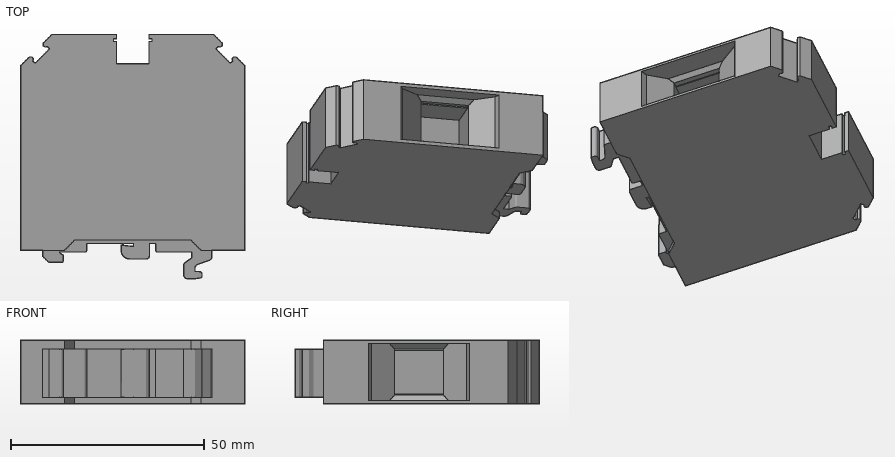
import cadquery as cq
import math

WIDTH = 58.0
HEIGHT = 55.9
THICKNESS = 16.5
HALF_WIDTH = WIDTH / 2
CORNER_CHAMFER = 8.1

GROOVE_HALF_PROFILE = [(2.5, 0), (2.0, 0.5), (2.15, 1.15), (2.65, 1.4), (2.6, 2.2)]

SLOT_WIDTH = 8.35
SLOT_DEPTH = 7.6
NOTCH_SPAN = 9.85
NOTCH_HEIGHT = 0.7
NOTCH_DEPTH = 1.15

FUNNEL_Y = 24.7
MOUTH_WIDTH = 26.05
THROAT_START_WIDTH = 24.6
BORE_WIDTH = 12.65
MOUTH_HEIGHT = 14.7
THROAT_HEIGHT = 11.9
BORE_HEIGHT = 11.25
LIP_DEPTH = 1.5
ROOF_TAPER_START = 4.8
THROAT_DEPTH = 5.7
BORE_STEP_DEPTH = 6.9
BORE_DEPTH = 15.8

RECESS_WIDTH = 35.4
RECESS_DEPTH = 2.65
RECESS_HALF_WIDTH = RECESS_WIDTH / 2
RECESS_HALF_ROOF = RECESS_HALF_WIDTH - RECESS_DEPTH

FOOT_BOTTOM_Z = -6.5
FOOT_THICKNESS = 12.45
BAR_BOTTOM = -0.45
BAR_RELIEF = 1.8
BAR_ROUND = 0.5
HOOK_BOTTOM = -7.35
HOOK_ROUND = 1.0
PAD_BOTTOM = -2.2
PAD_ROUND = 2.2


def rounded_outline(corners):
    """Closed XY wire through (x, y, radius) corners; radius 0 keeps a corner sharp."""
    stretches = []
    for i, (x, y, radius) in enumerate(corners):
        corner = cq.Vector(x, y)
        if radius == 0:
            stretches.append([corner])
            continue
        before = cq.Vector(*corners[i - 1][:2])
        after = cq.Vector(*corners[(i + 1) % len(corners)][:2])
        to_before = (before - corner).normalized()
        to_after = (after - corner).normalized()
        half_angle = to_before.getAngle(to_after) / 2
        tangent_length = radius / math.tan(half_angle)
        bisector = (to_before + to_after).normalized()
        middle = corner + bisector * (radius / math.sin(half_angle) - radius)
        stretches.append([corner + to_before * tangent_length, middle, corner + to_after * tangent_length])

    outline = cq.Workplane("XY").moveTo(*stretches[0][-1].toTuple()[:2])
    for stretch in stretches[1:] + stretches[:1]:
        outline = outline.lineTo(*stretch[0].toTuple()[:2])
        if len(stretch) == 3:
            outline = outline.threePointArc(stretch[1].toTuple()[:2], stretch[2].toTuple()[:2])
    return outline.close()


def through_cutter(outline):
    """Prism of an XY outline, as thick as the housing."""
    return outline.extrude(THICKNESS / 2, both=True)


def mirrored_pair(shape):
    return shape.union(shape.mirror("YZ"))


def make_block():
    block = cq.Workplane("XY").box(WIDTH, HEIGHT, THICKNESS).translate((0, HEIGHT / 2, 0))
    return block.edges("|Z and >Y").chamfer(CORNER_CHAMFER)


def make_corner_grooves():
    profile = [(along, -depth) for along, depth in GROOVE_HALF_PROFILE]
    profile += [(-along, depth) for along, depth in reversed(profile)]
    groove = through_cutter(cq.Workplane("XY").polyline(profile).close())
    groove = groove.rotate((0, 0, 0), (0, 0, 1), -45)
    middle_x = HALF_WIDTH - CORNER_CHAMFER / 2
    middle_y = HEIGHT - CORNER_CHAMFER / 2
    return mirrored_pair(groove.translate((middle_x, middle_y, 0)))


def make_top_slot():
    slot = through_cutter(cq.Workplane("XY").center(0, HEIGHT - SLOT_DEPTH / 2).rect(SLOT_WIDTH, SLOT_DEPTH))
    notch_y = HEIGHT - NOTCH_DEPTH - NOTCH_HEIGHT / 2
    notches = through_cutter(cq.Workplane("XY").center(0, notch_y).rect(NOTCH_SPAN, NOTCH_HEIGHT))
    return slot.union(notches)


def make_funnels():
    plan = [
        (0, MOUTH_WIDTH / 2),
        (LIP_DEPTH, THROAT_START_WIDTH / 2),
        (THROAT_DEPTH, BORE_WIDTH / 2),
        (BORE_DEPTH, BORE_WIDTH / 2),
    ]
    section = [
        (0, MOUTH_HEIGHT / 2),
        (ROOF_TAPER_START, MOUTH_HEIGHT / 2),
        (THROAT_DEPTH, THROAT_HEIGHT / 2),
        (BORE_STEP_DEPTH, THROAT_HEIGHT / 2),
        (BORE_STEP_DEPTH, BORE_HEIGHT / 2),
        (BORE_DEPTH, BORE_HEIGHT / 2),
    ]

    def symmetric_prism(plane, half_profile, length):
        profile = half_profile + [(depth, -offset) for depth, offset in reversed(half_profile)]
        return cq.Workplane(plane).polyline(profile).close().extrude(length / 2, both=True)

    funnel = symmetric_prism("XY", plan, MOUTH_HEIGHT).intersect(symmetric_prism("XZ", section, MOUTH_WIDTH))
    return mirrored_pair(funnel.translate((-HALF_WIDTH, FUNNEL_Y, 0)))


def make_base_recess():
    corners = [
        (-RECESS_HALF_WIDTH, 0),
        (-RECESS_HALF_ROOF, RECESS_DEPTH),
        (RECESS_HALF_ROOF, RECESS_DEPTH),
        (RECESS_HALF_WIDTH, 0),
    ]
    return through_cutter(cq.Workplane("XY").polyline(corners).close())


def make_rail_foot():
    corners = [
        (-23.35, 0, 0),
        (-23.35, -1.5, 0),
        (-21.7, -3.1, 0),
        (-17.95, -3.1, 0.45),
        (-17.95, -1.1, 0.3),
        (-18.5, -0.95, 0),
        (-19.0, BAR_BOTTOM, 0),
        (-11.9, BAR_BOTTOM, BAR_ROUND),
        (-11.9, BAR_RELIEF, 0),
        (-2.7, BAR_RELIEF, 0),
        (-2.5, 1.5, 0),
        (-2.3, BAR_RELIEF, 0),
        (0.2, BAR_RELIEF, 0),
        (0.2, 1.1, 0),
        (-3.05, 1.4, 0),
        (-3.05, PAD_BOTTOM, PAD_ROUND),
        (4.35, PAD_BOTTOM, 0.9),
        (4.35, BAR_RELIEF, 0),
        (5.95, BAR_RELIEF, 0),
        (5.95, BAR_BOTTOM, BAR_ROUND),
        (15.25, BAR_BOTTOM, 0),
        (15.25, -1.9, 0),
        (13.15, -3.4, 0.75),
        (13.15, HOOK_BOTTOM, HOOK_ROUND),
        (16.1, HOOK_BOTTOM, 0),
        (17.95, -7.1, BAR_ROUND),
        (17.95, -5.45, 0.75),
        (16.1, -5.45, 0),
        (16.1, -3.85, HOOK_ROUND),
        (20.5, -2.35, 1.0),
        (20.5, 0, 0),
        (RECESS_HALF_WIDTH, 0, 0),
        (RECESS_HALF_ROOF, RECESS_DEPTH, 0),
        (-RECESS_HALF_ROOF, RECESS_DEPTH, 0),
        (-RECESS_HALF_WIDTH, 0, 0),
    ]
    return rounded_outline(corners).extrude(FOOT_THICKNESS).translate((0, 0, FOOT_BOTTOM_Z))


housing = make_block()
for cutter in (make_corner_grooves(), make_top_slot(), make_funnels(), make_base_recess()):
    housing = housing.cut(cutter)

result = housing.union(make_rail_foot())